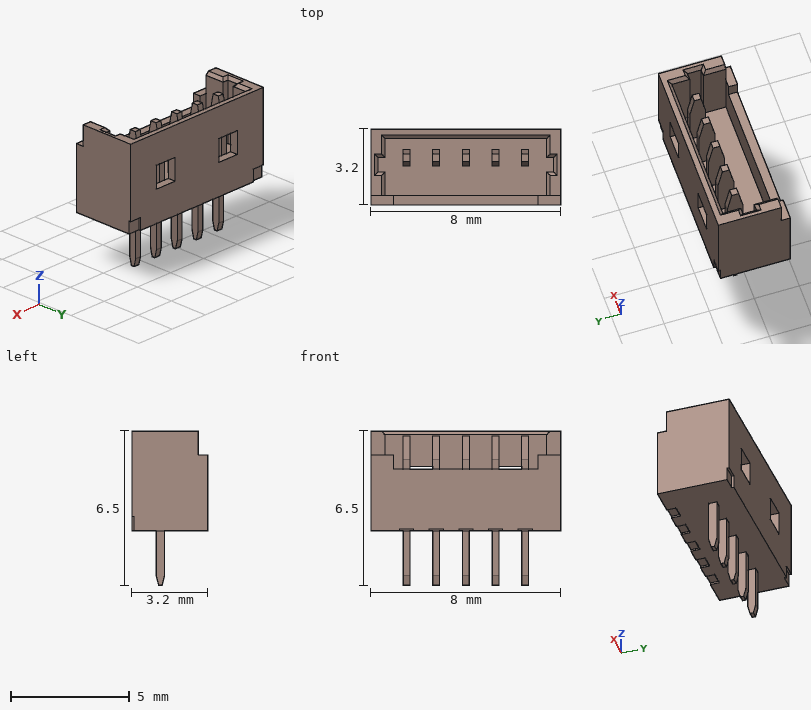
import cadquery as cq


LENGTH = 8.0
DEPTH = 3.2
HEIGHT = 4.2
FLOOR_HEIGHT = 1.1
WALL = 0.4
END_WALL = 0.6
RIM_CHAMFER = 0.15

KEY_SLOT_DEPTH = 0.3
KEY_SLOT_WIDTH = 0.6
KEY_SLOT_Y = -1.5

SHOULDER_HEIGHT = 3.2
SHOULDER_LENGTH = 0.95
FRONT_WALL_HEIGHT = 2.6

WINDOW_SIZE = 1.1
WINDOW_SILL = 1.6

FRONT_NOTCH_WIDTH = 0.6
FRONT_NOTCH_HEIGHT = 0.08
CORNER_NOTCH_DEPTH = 0.1
CORNER_NOTCH_HEIGHT = 0.6
CORNER_NOTCH_LENGTH = END_WALL

PIN_COUNT = 5
PIN_SPAN = 5.0
PIN_PITCH = PIN_SPAN / (PIN_COUNT - 1)
PIN_WIDTH = 0.3
PIN_Y = -1.2
BLADE_THICKNESS = 0.7
BLADE_TIP_THICKNESS = 0.3
BLADE_TAPER = 1.0
PIN_TOP = 4.0
TAIL_THICKNESS = 0.36
TAIL_TIP_THICKNESS = 0.15
TAIL_TAPER = 0.41
PIN_BOTTOM = -2.3

FRONT_Y = -DEPTH
PIN_XS = [-PIN_SPAN / 2 + i * PIN_PITCH for i in range(PIN_COUNT)]


def block(x_size, y_size, z_size, x_center, y_min, z_min):
    """Box centred on x_center, growing in +Y and +Z from its lower front edge."""
    box = cq.Workplane("XY").box(x_size, y_size, z_size, centered=(True, False, False))
    return box.translate((x_center, y_min, z_min))


def cavity_outline(z, growth=0):
    """Cavity outline at height z, offset outward by growth: a rectangle with a key slot at each X end."""
    side_x = LENGTH / 2 - END_WALL + growth
    slot_x = side_x + KEY_SLOT_DEPTH
    front_y = FRONT_Y + WALL - growth
    back_y = -WALL + growth
    half_slot = KEY_SLOT_WIDTH / 2 + growth
    slot_front_y = KEY_SLOT_Y - half_slot
    slot_back_y = KEY_SLOT_Y + half_slot
    right_side = [
        (side_x, front_y),
        (side_x, slot_front_y),
        (slot_x, slot_front_y),
        (slot_x, slot_back_y),
        (side_x, slot_back_y),
        (side_x, back_y),
    ]
    left_side = [(-x, y) for x, y in reversed(right_side)]
    return cq.Workplane("XY").workplane(offset=z).polyline(right_side + left_side).close()


def make_cavity():
    """Cavity volume with a 45 degree flare at the rim."""
    straight = cavity_outline(FLOOR_HEIGHT).extrude(HEIGHT - FLOOR_HEIGHT)
    flare_bottom = cavity_outline(HEIGHT - RIM_CHAMFER).val()
    flare_top = cavity_outline(HEIGHT, RIM_CHAMFER).val()
    flare = cq.Solid.makeLoft([flare_bottom, flare_top], True)
    return straight.union(cq.Workplane(flare))


def make_front_step():
    """Volume removed to lower the front wall, leaving a shoulder at each end."""
    above_shoulders = block(LENGTH, WALL, HEIGHT - SHOULDER_HEIGHT, 0, FRONT_Y, SHOULDER_HEIGHT)
    opening_length = LENGTH - 2 * SHOULDER_LENGTH
    opening = block(opening_length, WALL, HEIGHT - FRONT_WALL_HEIGHT, 0, FRONT_Y, FRONT_WALL_HEIGHT)
    return above_shoulders.union(opening)


def make_housing():
    housing = block(LENGTH, DEPTH, HEIGHT, 0, FRONT_Y, 0)
    housing = housing.cut(make_cavity()).cut(make_front_step())

    window_x = PIN_XS[-1] - PIN_PITCH / 2
    for x in (-window_x, window_x):
        housing = housing.cut(block(WINDOW_SIZE, WALL, WINDOW_SIZE, x, -WALL, WINDOW_SILL))

    corner_x = (LENGTH - CORNER_NOTCH_LENGTH) / 2
    for x in (-corner_x, corner_x):
        corner = block(
            CORNER_NOTCH_LENGTH, CORNER_NOTCH_DEPTH, CORNER_NOTCH_HEIGHT, x, -CORNER_NOTCH_DEPTH, 0
        )
        housing = housing.cut(corner)

    hole_front_y = PIN_Y - TAIL_THICKNESS / 2
    for x in PIN_XS:
        housing = housing.cut(block(FRONT_NOTCH_WIDTH, WALL, FRONT_NOTCH_HEIGHT, x, FRONT_Y, 0))
        housing = housing.cut(block(PIN_WIDTH, TAIL_THICKNESS, FLOOR_HEIGHT, x, hole_front_y, 0))
    return housing


def make_pin(x):
    """Flat pin: a wide tapered blade standing on the floor and a narrow tail through it."""
    half_profile = [
        (TAIL_TIP_THICKNESS / 2, PIN_BOTTOM),
        (TAIL_THICKNESS / 2, PIN_BOTTOM + TAIL_TAPER),
        (TAIL_THICKNESS / 2, FLOOR_HEIGHT),
        (BLADE_THICKNESS / 2, FLOOR_HEIGHT),
        (BLADE_THICKNESS / 2, PIN_TOP - BLADE_TAPER),
        (BLADE_TIP_THICKNESS / 2, PIN_TOP),
    ]
    mirrored_half = [(-y, z) for y, z in reversed(half_profile)]
    profile = cq.Workplane("YZ").polyline(half_profile + mirrored_half).close()
    pin = profile.extrude(PIN_WIDTH / 2, both=True)
    return pin.translate((x, PIN_Y, 0))


housing = make_housing()
pins = [make_pin(x) for x in PIN_XS]

result = cq.Compound.makeCompound([housing.val(), *[pin.val() for pin in pins]])